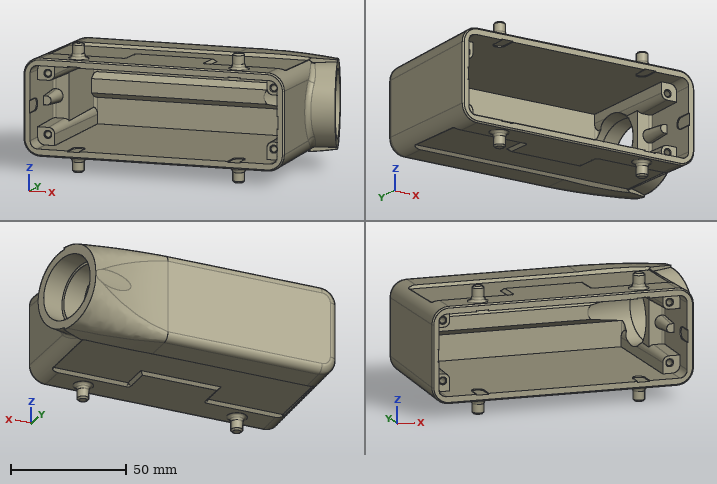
import cadquery as cq
import math

body_length = 120.0
body_height = 43.4
body_depth = 62.3
body_corner = 7.6
roof_fillet = 3.7
rim_chamfer = 0.7
draft = 1.0
mid_x = body_length / 2

mouth_length = 113.8
mouth_height = 36.8
mouth_corner = 3.4
shelf_y = 28.9
shelf_fillet = 1.0
chamber_length = 98.5
chamber_depth = 59.9
chamber_fillet = 1.3

ridge_height = 3.7
ridge_base = 11.3
ridge_top = 6.3

boss_y = 9.2
boss_reach = 48.9
boss_inner_z = 10.4
boss_corner = 2.8
boss_draft = 1.8
screw_spacing_x = 104.1
screw_spacing_z = 27.0
screw_hole = 2.8
screw_mouth = 3.5
screw_depth = 13.1

post_y = 16.5
post_offset = 55.2
post_radius = 2.0
post_draft = 5.0

pin_spacing = 73.8
pin_y = 6.3
pin_tip_z = 28.5
pin_radius = 2.6
pin_chamfer = 0.8
pin_neck_z = 23.9
pin_collar_z = 22.7
pin_collar_radius = 3.0
pin_foot_radius = 4.6
pin_root_depth = 1.3
flare_width = 0.5
flare_rise = 0.4
groove_radius = 2.8
groove_depth = 0.4

panel_depth = 1.3
panel_left = 5.0
panel_bottom = 14.7
panel_top = 45.2
tab_left = 40.7
tab_right = 79.2
tab_top = 27.7
panel_wall_angle = 48.0
panel_cut_height = 3.3

outlet_tilt = 16.0
outlet_radius = 18.9
outlet_tip_x = 131.4
outlet_tip_y = 70.0
outlet_length = 28.9
outlet_fillet = 2.6
bore = 28.0
bore_mouth = 30.5
bore_mouth_depth = 10.5
bore_length = 44.7
hump_start_x = 82.7
hump_start_bottom = 43.4
hump_middle_x = 107.6
hump_middle_top = 65.8
hump_middle_height = 21.7
hump_middle_corner = 12.1
hump_middle_tilt = 13.0
hump_end_half_width = 19.7
hump_end_below_axis = 1.8

tilt = math.radians(outlet_tilt)
outlet_x = outlet_tip_x - outlet_radius * math.sin(tilt)
outlet_y = outlet_tip_y - outlet_radius * math.cos(tilt)


def depth_plane(y, x=mid_x):
    """Plane at depth y facing +Y, with its local x along X."""
    return cq.Workplane(cq.Plane((x, y, 0), (1, 0, 0), (0, 1, 0)))


def tilted_plane(x, y, degrees):
    """Plane facing along the tilted outlet direction, with its local x along -Z."""
    angle = math.radians(degrees)
    return cq.Plane((x, y, 0), (0, 0, -1), (math.cos(angle), math.sin(angle), 0))


def drafted_box(y_start, y_end, length, height):
    """Sharp-cornered box that narrows toward +Y."""
    return depth_plane(y_start).rect(length, height).extrude(y_end - y_start, taper=draft)


def round_corners(box, radius):
    """Round the four edges that run along Y."""
    return box.edges("not(<Y or >Y)").fillet(radius)


def wall_z(y, rim_height):
    """Half height at depth y of a drafted wall pair that is rim_height apart at the rim."""
    return rim_height / 2 - y * math.tan(math.radians(draft))


def both_sides(shape):
    """The shape together with its mirror image below Z = 0."""
    return shape.union(shape.mirror("XY"))


def make_body():
    body = round_corners(drafted_box(0, body_depth, body_length, body_height), body_corner)
    return body.faces(">Y").edges().fillet(roof_fillet).faces("<Y").edges().chamfer(rim_chamfer)


def hump_section(plane, foot_half, half_width, bottom, top, corner):
    """Arch-shaped wire: flat bottom, nearly upright sides and rounded upper corners."""
    bend = corner * (1 - math.sqrt(0.5))
    return (
        cq.Workplane(plane)
        .moveTo(-foot_half, bottom)
        .lineTo(-half_width, top - corner)
        .threePointArc((-half_width + bend, top - bend), (-half_width + corner, top))
        .lineTo(half_width - corner, top)
        .threePointArc((half_width - bend, top - bend), (half_width, top - corner))
        .lineTo(foot_half, bottom)
        .close()
        .wires()
        .val()
    )


def make_hump():
    """Loft from the roof profile to the outlet's end, flush with the drafted large faces."""
    start = hump_section(
        tilted_plane(hump_start_x, 0, 0),
        wall_z(hump_start_bottom, body_height),
        wall_z(body_depth - roof_fillet, body_height),
        hump_start_bottom,
        body_depth,
        roof_fillet,
    )
    middle = hump_section(
        tilted_plane(hump_middle_x, hump_middle_top, hump_middle_tilt),
        wall_z(hump_middle_top - hump_middle_height, body_height),
        wall_z(hump_middle_top - hump_middle_corner, body_height),
        -hump_middle_height,
        0,
        hump_middle_corner,
    )
    end = hump_section(
        tilted_plane(outlet_x, outlet_y, outlet_tilt),
        hump_end_half_width,
        hump_end_half_width,
        -hump_end_below_axis,
        outlet_radius,
        outlet_radius,
    )
    return cq.Workplane(cq.Solid.makeLoft([start, middle, end]))


def make_hump_seat():
    """Corner of the plain body that the hump replaces."""
    length = body_length - hump_start_x
    depth = body_depth - panel_top
    seat = cq.Workplane("XY").box(length, depth, body_height, centered=(False, False, True))
    return seat.translate((hump_start_x, panel_top, 0))


def outlet_cylinder(diameter, length):
    """Cylinder that runs from the outlet's end face back into the body."""
    end_plane = tilted_plane(outlet_x, outlet_y, outlet_tilt)
    return cq.Workplane(end_plane).circle(diameter / 2).extrude(-length)


def make_bosses():
    """Four drafted posts that fill the cavity corners."""
    width = mid_x - boss_reach
    height = body_height / 2 - boss_inner_z
    profile = cq.Sketch().rect(width, height).vertices().fillet(boss_corner)
    bosses = cq.Workplane()
    for side_x in (-1, 1):
        for side_z in (-1, 1):
            centre = (side_x * (boss_reach + width / 2), side_z * (boss_inner_z + height / 2))
            post = depth_plane(boss_y).center(*centre).placeSketch(profile)
            bosses = bosses.add(post.extrude(chamber_depth - boss_y, taper=-boss_draft))
    return bosses.combine()


def make_posts():
    """Half-round posts that grow out of both end walls."""
    slot_length = 2 * (mid_x - post_offset)
    posts = cq.Workplane()
    for end_x in (0, body_length):
        post = depth_plane(post_y, end_x).slot2D(slot_length + 2 * post_radius, 2 * post_radius)
        posts = posts.add(post.extrude(shelf_y - post_y, taper=-post_draft))
    return posts.combine()


def make_ridge():
    """Trapezoid bar along the chamber roof."""
    return (
        cq.Workplane("YZ")
        .moveTo(chamber_depth, -ridge_base / 2)
        .lineTo(chamber_depth - ridge_height, -ridge_top / 2)
        .lineTo(chamber_depth - ridge_height, ridge_top / 2)
        .lineTo(chamber_depth, ridge_base / 2)
        .close()
        .extrude(body_length)
    )


def make_cavity():
    bosses = make_bosses()
    mouth = round_corners(drafted_box(0, shelf_y, mouth_length, mouth_height), mouth_corner).cut(bosses)
    mouth = mouth.faces(">Y").edges("<X or >X").fillet(shelf_fillet).cut(make_posts())
    chamber_height = 2 * wall_z(shelf_y, mouth_height)
    chamber = drafted_box(shelf_y, chamber_depth, chamber_length, chamber_height)
    chamber = chamber.faces(">Y").edges("|Z").fillet(chamber_fillet)
    return mouth.union(chamber.cut(bosses).cut(make_ridge()))


def make_screw_holes():
    """Blind holes in the four bosses, each with a small countersink."""
    countersink = (screw_mouth - screw_hole) / 2
    spots = depth_plane(boss_y).rarray(screw_spacing_x, screw_spacing_z, 2, 2)
    holes = spots.circle(screw_hole / 2).extrude(screw_depth)
    sinks = spots.circle(screw_mouth / 2).extrude(countersink, taper=45)
    return holes.union(sinks)


def groove_bar(plane, span):
    """Round-ended groove shape from the rim to the pin depth, reaching span / 2 to either side."""
    return (
        cq.Workplane(plane)
        .moveTo(-groove_radius, 0)
        .lineTo(-groove_radius, pin_y)
        .threePointArc((0, pin_y + groove_radius), (groove_radius, pin_y))
        .lineTo(groove_radius, 0)
        .close()
        .extrude(span / 2, both=True)
    )


def make_grooves():
    """Shallow grooves that run in from the rim on all four inner walls."""
    end_plane = cq.Plane((mid_x, 0, 0), (0, 0, -1), (1, 0, 0))
    grooves = groove_bar(end_plane, mouth_length + 2 * groove_depth)
    for side in (-1, 1):
        pin_plane = cq.Plane((mid_x + side * pin_spacing / 2, 0, 0), (1, 0, 0), (0, 0, 1))
        grooves = grooves.union(groove_bar(pin_plane, mouth_height + 2 * groove_depth))
    return grooves


def make_pins():
    """Locking pins on both large faces: flared foot, conical collar, plain shank, chamfered tip."""
    foot_z = wall_z(pin_y, body_height)
    root_z = mouth_height / 2 + pin_root_depth
    profile = (
        cq.Workplane("XZ")
        .moveTo(0, root_z)
        .lineTo(pin_foot_radius, root_z)
        .lineTo(pin_foot_radius, foot_z)
        .threePointArc(
            (pin_collar_radius + flare_width, foot_z + flare_rise), (pin_collar_radius, pin_collar_z)
        )
        .lineTo(pin_radius, pin_neck_z)
        .lineTo(pin_radius, pin_tip_z - pin_chamfer)
        .lineTo(pin_radius - pin_chamfer, pin_tip_z)
        .lineTo(0, pin_tip_z)
        .close()
    )
    pin = profile.revolve(360, (0, 0, 0), (0, 1, 0))
    pins = cq.Workplane()
    for side in (-1, 1):
        pins = pins.union(pin.translate((mid_x + side * pin_spacing / 2, pin_y, 0)))
    return both_sides(pins)


def make_panels():
    """Shallow panels parallel to the drafted faces, with sloped walls and a stepped lower edge."""
    angle = math.radians(draft)
    floor_z = body_height / 2 - panel_depth
    panel_right = body_length - panel_left
    floor = cq.Plane((0, 0, floor_z), (1, 0, 0), (0, math.sin(angle), math.cos(angle)))
    panel = (
        cq.Workplane(floor)
        .moveTo(panel_left, panel_bottom)
        .lineTo(tab_left, panel_bottom)
        .lineTo(tab_left, tab_top)
        .lineTo(tab_right, tab_top)
        .lineTo(tab_right, panel_bottom)
        .lineTo(panel_right, panel_bottom)
        .lineTo(panel_right, panel_top)
        .lineTo(panel_left, panel_top)
        .close()
        .extrude(panel_cut_height, taper=-panel_wall_angle)
    )
    return both_sides(panel)


panels = make_panels()
outlet_barrel = outlet_cylinder(2 * outlet_radius, outlet_length)
outlet_root = cq.selectors.BoxSelector(
    (body_length - body_corner, shelf_y, -outlet_radius),
    (outlet_x, panel_top, outlet_radius),
)

body = make_body().union(outlet_barrel)
body = body.edges(outlet_root).fillet(outlet_fillet)
body = body.cut(make_hump_seat()).union(outlet_barrel).cut(panels)
body = body.union(make_hump().cut(panels)).union(make_pins())
body = body.cut(make_cavity()).cut(make_screw_holes()).cut(make_grooves())
result = body.cut(outlet_cylinder(bore, bore_length)).cut(outlet_cylinder(bore_mouth, bore_mouth_depth))